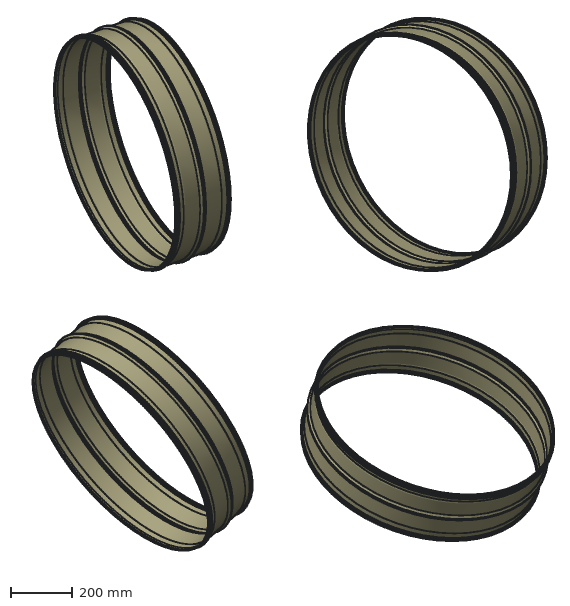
import cadquery as cq

LENGTH = 209.0
SHEET = 0.65

BEAD_DIAMETER = 813.0
BEAD_WIDTH = 23.0
CREST_WIDTH = 4.0

SLEEVE_DIAMETER = 799.0
SLEEVE_END_Y = 65.0

BEND_DIAMETER = 798.0
BEND_Y = 67.0
SPIGOT_DIAMETER = 795.0
SPIGOT_START_Y = 71.5

HEM_DIAMETER = 799.0
HEM_WIDTH = 2.5

GASKET_BAND_DIAMETER = 798.0
GASKET_BODY_DIAMETER = 804.0
BAND_END_Y = 97.5
BODY_START_Y = 96.0
GASKET_BACK_Y = 91.0

LIP_DIAMETER = 809.0
LIP_TIP_Y = 89.0
LIP_TIP_THICKNESS = 1.0
LIP_UNDERCUT_Y = 94.0

END_Y = LENGTH / 2
HEM_Y = END_Y - HEM_WIDTH
SPIGOT_RADIUS = SPIGOT_DIAMETER / 2
SPIGOT_BORE_RADIUS = SPIGOT_RADIUS - SHEET


def revolve_about_y(outline):
    """Turn a closed (radius, y) outline fully around the Y axis."""
    return cq.Workplane("XY").polyline(outline).close().revolve(360, (0, 0, 0), (0, 1, 0))


def on_side(outline, side):
    """Keep an outline at the +Y end, or mirror it to the -Y end for side = -1."""
    return [(radius, side * y) for radius, y in outline]


def make_hem(side):
    """Folded sheet edge that stands up around the spigot's end."""
    outline = [
        (SPIGOT_BORE_RADIUS, HEM_Y),
        (HEM_DIAMETER / 2, HEM_Y),
        (HEM_DIAMETER / 2, END_Y),
        (SPIGOT_BORE_RADIUS, END_Y),
    ]
    return revolve_about_y(on_side(outline, side))


def make_sleeve():
    """Thin sheet that follows one profile from end to end, with a hem at each end."""
    half_profile = [
        (BEAD_DIAMETER / 2, CREST_WIDTH / 2),
        (SLEEVE_DIAMETER / 2, BEAD_WIDTH / 2),
        (SLEEVE_DIAMETER / 2, SLEEVE_END_Y),
        (BEND_DIAMETER / 2, BEND_Y),
        (SPIGOT_RADIUS, SPIGOT_START_Y),
        (SPIGOT_RADIUS, END_Y),
    ]
    outside = on_side(reversed(half_profile), -1) + half_profile
    inside = [(radius - SHEET, y) for radius, y in reversed(outside)]
    sleeve = revolve_about_y(outside + inside)
    for side in (1, -1):
        sleeve = sleeve.union(make_hem(side))
    return sleeve


def make_gasket(side):
    """Seal ring against the hem, with a thin lip that leans back from the end."""
    lip_radius = LIP_DIAMETER / 2
    band_radius = GASKET_BAND_DIAMETER / 2
    body_radius = GASKET_BODY_DIAMETER / 2
    outline = [
        (SPIGOT_RADIUS, HEM_Y),
        (band_radius, HEM_Y),
        (band_radius, BAND_END_Y),
        (body_radius, BODY_START_Y),
        (lip_radius, LIP_TIP_Y),
        (lip_radius - LIP_TIP_THICKNESS, LIP_TIP_Y),
        (body_radius, LIP_UNDERCUT_Y),
        (body_radius, GASKET_BACK_Y),
        (SPIGOT_RADIUS, GASKET_BACK_Y),
    ]
    return revolve_about_y(on_side(outline, side))


sleeve = make_sleeve()
gaskets = [make_gasket(side) for side in (1, -1)]

result = cq.Compound.makeCompound([sleeve.val()] + [gasket.val() for gasket in gaskets])